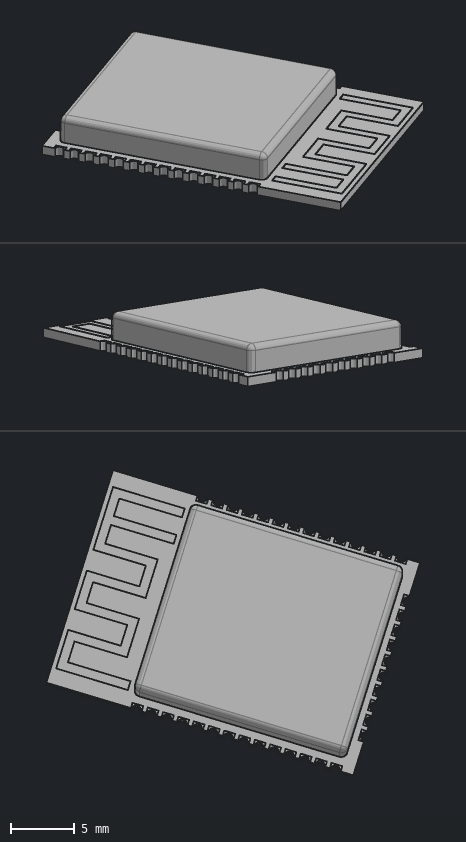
import cadquery as cq

board_length = 25.5
board_width = 18.0
board_thickness = 0.8
overall_height = 3.1

shield_length = 17.6
shield_width = 15.8
shield_setback = 1.0
shield_fillet = 0.5
shield_height = overall_height - board_thickness

pad_pitch = 1.27
pad_width = 0.9
pad_depth = 0.45
pad_height = 0.005
castellation_radius = 0.35
long_edge_pad_count = 14
short_edge_pad_count = 10
first_pad_setback = 1.5

trace_width = 0.75
trace_height = 0.02
antenna_span = 15.35
meander_row_count = 5
meander_pitch = 2.51
feed_spacing = 2.23

right_column_setback = 0.81
left_column_setback = 5.17
terminal_setback = 6.38

left_edge = -board_length / 2
right_edge = board_length / 2
side_edge = board_width / 2


def make_board():
    return cq.Workplane("XY").box(
        board_length, board_width, board_thickness, centered=(True, True, False)
    )


def make_shield():
    center_x = left_edge + shield_setback + shield_length / 2
    return (
        cq.Workplane("XY", origin=(center_x, 0, board_thickness))
        .rect(shield_length, shield_width)
        .extrude(shield_height)
        .edges("|Z or >Z")
        .fillet(shield_fillet)
    )


def raised_rectangle(x_min, x_max, y_min, y_max, height):
    """Block from the board's underside to a little above its top face."""
    return (
        cq.Workplane("XY", origin=((x_min + x_max) / 2, (y_min + y_max) / 2, 0))
        .rect(x_max - x_min, y_max - y_min)
        .extrude(board_thickness + height)
    )


def long_edge_pad_positions():
    first_x = left_edge + first_pad_setback
    return [first_x + index * pad_pitch for index in range(long_edge_pad_count)]


def short_edge_pad_positions():
    first_y = -(short_edge_pad_count - 1) * pad_pitch / 2
    return [first_y + index * pad_pitch for index in range(short_edge_pad_count)]


def add_pads(body):
    half_width = pad_width / 2
    for x in long_edge_pad_positions():
        for y_min in (-side_edge, side_edge - pad_depth):
            pad = raised_rectangle(x - half_width, x + half_width, y_min, y_min + pad_depth, pad_height)
            body = body.union(pad)
    for y in short_edge_pad_positions():
        pad = raised_rectangle(left_edge, left_edge + pad_depth, y - half_width, y + half_width, pad_height)
        body = body.union(pad)
    return body


def cut_castellations(body):
    """Half-round plated notches centred on the board edge, through each pad."""
    centers = [(x, y) for x in long_edge_pad_positions() for y in (-side_edge, side_edge)]
    centers += [(left_edge, y) for y in short_edge_pad_positions()]
    notches = (
        cq.Workplane("XY")
        .pushPoints(centers)
        .circle(castellation_radius)
        .extrude(board_thickness + pad_height)
    )
    return body.cut(notches)


def add_antenna(body):
    right_x = right_edge - right_column_setback
    left_x = right_edge - left_column_setback
    terminal_x = right_edge - terminal_setback
    half_trace = trace_width / 2
    top_row = antenna_span / 2 - half_trace
    meander_rows = [top_row - index * meander_pitch for index in range(meander_row_count)]
    ground_row = -top_row
    feed_row = ground_row + feed_spacing

    segments = [(terminal_x + half_trace, right_x, row, row) for row in (top_row, feed_row, ground_row)]
    segments += [(left_x, right_x, row, row) for row in meander_rows[1:]]
    for index, (upper, lower) in enumerate(zip(meander_rows, meander_rows[1:])):
        column_x = left_x if index % 2 else right_x
        segments.append((column_x, column_x, lower, upper))
    segments.append((right_x, right_x, ground_row, meander_rows[-1]))

    for x_start, x_end, y_start, y_end in segments:
        trace = raised_rectangle(
            x_start - half_trace, x_end + half_trace, y_start - half_trace, y_end + half_trace, trace_height
        )
        body = body.union(trace)
    return body


result = make_board()
result = add_pads(result)
result = cut_castellations(result)
result = result.union(make_shield())
result = add_antenna(result)